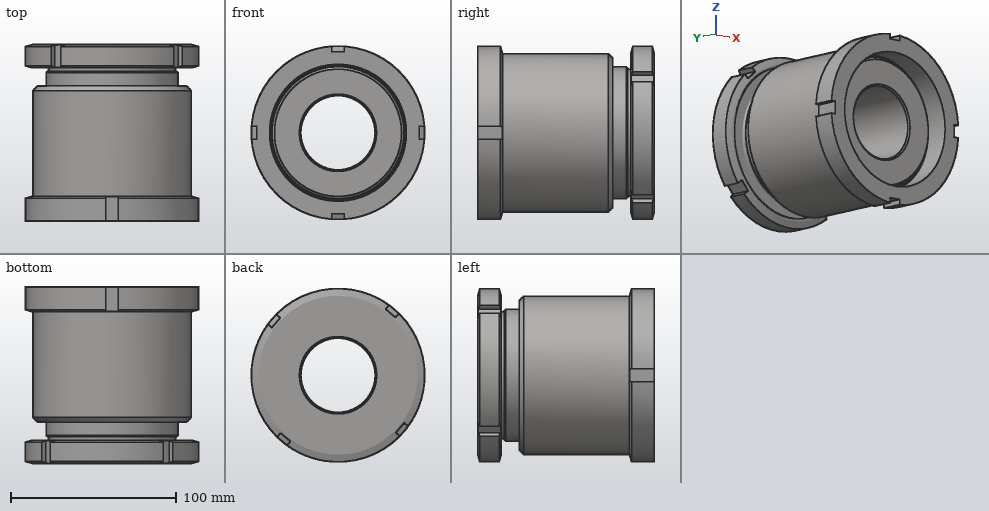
import cadquery as cq
import math

total_length = 106.8
rim_radius = 52.5
rim_chamfer_length = 1.3

flange_length = 15.1
barrel_radius = 48.0
barrel_end = 81.8
barrel_chamfer = 2.9
recess_radius = 41.4
recess_depth = 15.0
bore_mouth_radius = 40.7

shaft_radius = 40.0
shaft_start = 11.7
shaft_end_chamfer = 1.5
bore_radius = 22.4
bore_chamfer = 1.0
neck_radius = 38.6
neck_length = 1.5
neck_shaft_fillet = 0.4
neck_head_fillet = 0.9
head_length = 14.2
head_face_radius = 48.1
head_recess_radius = 46.5
head_recess_depth = 0.9

slot_count = 4
slot_width = 7.8
slot_floor_radius = 49.1
head_slot_angle = 49.7

head_start = total_length - head_length
neck_start = head_start - neck_length
shaft_shoulder = neck_start - neck_shaft_fillet
shoulder_radius = neck_radius + neck_shaft_fillet
shaft_cone_start = shaft_shoulder - (shaft_radius - shoulder_radius)
head_recess_floor = head_start + head_recess_depth


def revolve_about_y(profile):
    """Turn a closed (radius, Y) outline about the Y axis."""
    return profile.revolve(360, (0, 0, 0), (0, 1, 0))


def cut_spanner_slots(body, start, length, first_angle):
    """Cut evenly spaced flat-floored slots through a rim."""
    slot_height = 2 * (rim_radius - slot_floor_radius)
    for index in range(slot_count):
        slot = (
            cq.Workplane("XY")
            .box(slot_width, length, slot_height, centered=(True, False, False))
            .translate((0, start, slot_floor_radius))
            .rotate((0, 0, 0), (0, 1, 0), first_angle + index * 360 / slot_count)
        )
        body = body.cut(slot)
    return body


def make_housing():
    """Flanged barrel with a front recess and a bore that fits the shaft."""
    profile = cq.Workplane("XY").polyline([
        (recess_radius, 0),
        (rim_radius, 0),
        (rim_radius, flange_length - rim_chamfer_length),
        (barrel_radius, flange_length),
        (barrel_radius, barrel_end - barrel_chamfer),
        (barrel_radius - barrel_chamfer, barrel_end),
        (shaft_radius, barrel_end),
        (shaft_radius, recess_depth + bore_mouth_radius - shaft_radius),
        (bore_mouth_radius, recess_depth),
        (recess_radius, recess_depth),
    ]).close()
    blank = revolve_about_y(profile)
    return cut_spanner_slots(blank, 0, flange_length, 0)


def make_spindle():
    """Hollow shaft with an undercut neck and a slotted head."""
    arc_bulge = 1 - math.sqrt(0.5)
    profile = (
        cq.Workplane("XY")
        .moveTo(bore_radius + bore_chamfer, shaft_start)
        .lineTo(shaft_radius - shaft_end_chamfer, shaft_start)
        .lineTo(shaft_radius, shaft_start + shaft_end_chamfer)
        .lineTo(shaft_radius, shaft_cone_start)
        .lineTo(shoulder_radius, shaft_shoulder)
        .threePointArc(
            (neck_radius + arc_bulge * neck_shaft_fillet, shaft_shoulder + arc_bulge * neck_shaft_fillet),
            (neck_radius, neck_start),
        )
        .lineTo(neck_radius, head_recess_floor - neck_head_fillet)
        .threePointArc(
            (neck_radius + arc_bulge * neck_head_fillet, head_recess_floor - arc_bulge * neck_head_fillet),
            (neck_radius + neck_head_fillet, head_recess_floor),
        )
        .lineTo(head_recess_radius, head_recess_floor)
        .lineTo(head_recess_radius, head_start)
        .lineTo(head_face_radius, head_start)
        .lineTo(rim_radius, head_start + rim_chamfer_length)
        .lineTo(rim_radius, total_length - rim_chamfer_length)
        .lineTo(head_face_radius, total_length)
        .lineTo(bore_radius + bore_chamfer, total_length)
        .lineTo(bore_radius, total_length - bore_chamfer)
        .lineTo(bore_radius, shaft_start + bore_chamfer)
        .close()
    )
    blank = revolve_about_y(profile)
    return cut_spanner_slots(blank, head_start, head_length, head_slot_angle)


housing = make_housing()
spindle = make_spindle()
result = cq.Compound.makeCompound([housing.val(), spindle.val()])